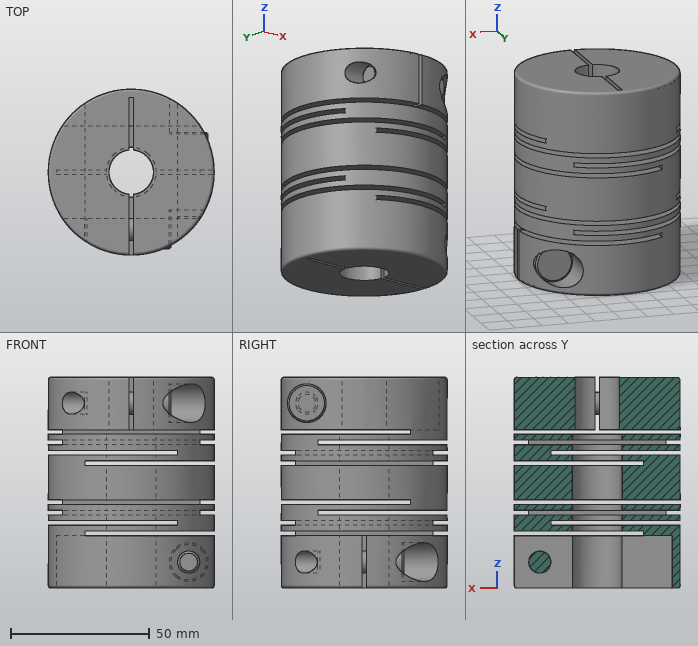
import cadquery as cq

BODY_DIAMETER = 60.0
BODY_RADIUS = BODY_DIAMETER / 2
BODY_LENGTH = 76.2
EDGE_ROUND = 1.0

HUB_LENGTH = 19.0
UPPER_BORE_DIAMETER = 16.0
LOWER_BORE_DIAMETER = 18.0

CUT_WIDTH = 1.6
CUT_SPACING = 3.75
CUTS_PER_GROUP = 4
HINGE_OFFSET = 16.7
GROUP_LENGTH = (CUTS_PER_GROUP - 1) * CUT_SPACING + CUT_WIDTH
GROUP_TOPS = (BODY_LENGTH - HUB_LENGTH, HUB_LENGTH + GROUP_LENGTH)
HINGE_ANGLES = (90, -90, 0, 180)

SLIT_WIDTH = 1.6
SLIT_END_OFFSET = 27.0

SCREW_OFFSET = 20.75
SCREW_END_DISTANCE = 9.4
SHANK_DIAMETER = 8.0
HEAD_DIAMETER = 14.0
HEAD_LENGTH = 8.0
HEAD_TOP = 14.3
HEAD_CHAMFER = 0.6
TIP_DISTANCE = 16.8
TIP_CHAMFER = 0.8
LOWER_CLAMP_TURN = 90


def turned(shape, angle):
    """Turn a shape about the coupling axis."""
    return shape.rotate((0, 0, 0), (0, 0, 1), angle)


def rod(diameter, start_x, end_x, height):
    """Cylinder along X on the axis of a clamp screw."""
    return (
        cq.Workplane("YZ", origin=(start_x, -SCREW_OFFSET, height))
        .circle(diameter / 2)
        .extrude(end_x - start_x)
    )


def bored_body():
    """Rounded cylinder with a narrower bore in the upper hub."""
    body = cq.Workplane("XY").circle(BODY_RADIUS).extrude(BODY_LENGTH)
    body = body.faces("<Z or >Z").edges().fillet(EDGE_ROUND)
    upper_bore = cq.Workplane("XY").circle(UPPER_BORE_DIAMETER / 2).extrude(BODY_LENGTH)
    lower_bore = (
        cq.Workplane("XY")
        .circle(LOWER_BORE_DIAMETER / 2)
        .extrude(BODY_LENGTH - HUB_LENGTH)
    )
    return body.cut(upper_bore).cut(lower_bore)


def flexure_cut(top, hinge_angle):
    """Flat cut through the body that leaves one segment beyond HINGE_OFFSET."""
    length = HINGE_OFFSET + BODY_DIAMETER
    slab = cq.Workplane("XY", origin=(HINGE_OFFSET - length / 2, 0, top - CUT_WIDTH / 2)).box(
        length, 2 * BODY_DIAMETER, CUT_WIDTH
    )
    return turned(slab, hinge_angle)


def clamp_slit(bottom):
    """Slit along Y, open at -Y and closed near the +Y side."""
    length = SLIT_END_OFFSET + BODY_DIAMETER
    return cq.Workplane("XY", origin=(0, SLIT_END_OFFSET - length / 2, bottom + HUB_LENGTH / 2)).box(
        SLIT_WIDTH, length, HUB_LENGTH
    )


def screw_hole(height):
    """Through hole along X with a counterbore that opens at +X."""
    hole = rod(SHANK_DIAMETER, -BODY_DIAMETER, BODY_DIAMETER, height)
    counterbore = rod(HEAD_DIAMETER, HEAD_TOP - HEAD_LENGTH, BODY_DIAMETER, height)
    return hole.union(counterbore)


def clamp_screw(height):
    """Cap screw along X with a chamfered head and tip."""
    shank = rod(SHANK_DIAMETER, -TIP_DISTANCE, HEAD_TOP - HEAD_LENGTH, height)
    shank = shank.faces("<X").chamfer(TIP_CHAMFER)
    head = rod(HEAD_DIAMETER, HEAD_TOP - HEAD_LENGTH, HEAD_TOP, height)
    head = head.faces(">X").chamfer(HEAD_CHAMFER)
    return shank.union(head)


def add_clamp(body, hub_bottom, screw_height, angle):
    """Slit one hub, drill it and fit its screw."""
    body = body.cut(turned(clamp_slit(hub_bottom), angle))
    body = body.cut(turned(screw_hole(screw_height), angle))
    return body.union(turned(clamp_screw(screw_height), angle))


coupling = bored_body()
for group_top in GROUP_TOPS:
    for index, hinge_angle in enumerate(HINGE_ANGLES):
        coupling = coupling.cut(flexure_cut(group_top - index * CUT_SPACING, hinge_angle))

coupling = add_clamp(coupling, BODY_LENGTH - HUB_LENGTH, BODY_LENGTH - SCREW_END_DISTANCE, 0)
coupling = add_clamp(coupling, 0, SCREW_END_DISTANCE, LOWER_CLAMP_TURN)

result = coupling